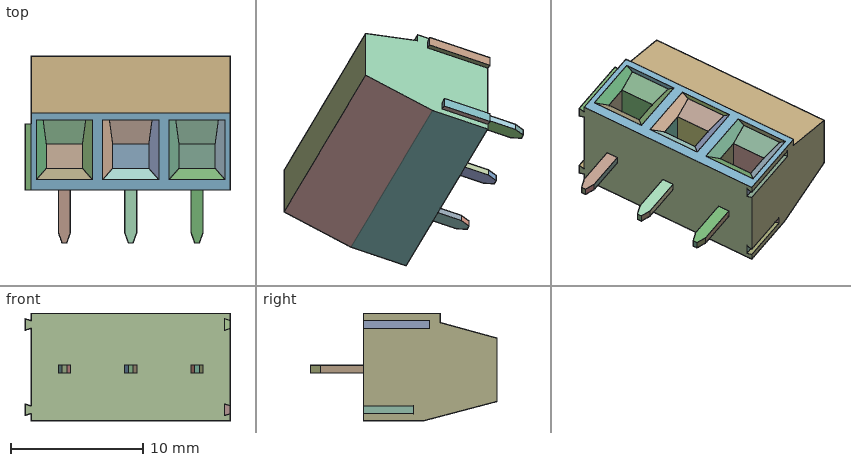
import cadquery as cq

overall_width = 15.5
key_height = 0.45
body_width = overall_width - key_height
body_depth = 10.1
body_height = 8.1

top_depth = 5.81
step_height = 0.68
back_top_drop = 1.86
bottom_depth = 4.57
back_bottom_rise = 1.45

pole_count = 3
pitch = 5.0
body_left = key_height
body_middle = body_left + body_width / 2
pole_centers = [body_middle + (i - (pole_count - 1) / 2) * pitch for i in range(pole_count)]

mouth_width = 4.23
mouth_front = 0.79
mouth_back = 5.3
funnel_depth = 0.62
lip_depth = 0.42
shaft_width = 2.73
shaft_front = 1.65
shaft_back = 3.47
shaft_bottom = 4.03

pin_length = 4.0
pin_width = 0.91
pin_thickness = 0.6
pin_tip_width = 0.35
pin_taper_length = 0.78
pin_center_height = 3.9

key_tip_width = 0.88
key_root_width = 0.59
key_edge_distance = 0.84
upper_key_length = 5.0
lower_key_length = 3.8
dovetails = [
    (body_height - key_edge_distance, upper_key_length),
    (key_edge_distance, lower_key_length),
]


def make_housing():
    """Extrude the stepped and tapered side profile along X."""
    return (
        cq.Workplane("YZ", origin=(body_left, 0, 0))
        .polyline([
            (0, 0),
            (bottom_depth, 0),
            (body_depth, back_bottom_rise),
            (body_depth, body_height - back_top_drop),
            (top_depth, body_height - step_height),
            (top_depth, body_height),
            (0, body_height),
        ])
        .close()
        .extrude(body_width)
    )


def make_dovetail(tip_x, center_z, length):
    """A bar running back from the front face, widest at tip_x and narrower towards +X."""
    root_x = tip_x + key_height
    return (
        cq.Workplane("XZ")
        .polyline([
            (tip_x, center_z - key_tip_width / 2),
            (root_x, center_z - key_root_width / 2),
            (root_x, center_z + key_root_width / 2),
            (tip_x, center_z + key_tip_width / 2),
        ])
        .close()
        .extrude(-length)
    )


def make_wire_entry(center_x):
    """Funnel with sloped walls, a back wall upright near the top, and a straight shaft below."""
    funnel_bottom = body_height - funnel_depth
    side_walls = (
        cq.Workplane("XZ", origin=(0, mouth_front, 0))
        .polyline([
            (center_x - mouth_width / 2, body_height),
            (center_x + mouth_width / 2, body_height),
            (center_x + shaft_width / 2, funnel_bottom),
            (center_x - shaft_width / 2, funnel_bottom),
        ])
        .close()
        .extrude(mouth_front - mouth_back)
    )
    front_and_back_walls = (
        cq.Workplane("YZ", origin=(center_x - mouth_width / 2, 0, 0))
        .polyline([
            (mouth_front, body_height),
            (mouth_back, body_height),
            (mouth_back, body_height - lip_depth),
            (shaft_back, funnel_bottom),
            (shaft_front, funnel_bottom),
        ])
        .close()
        .extrude(mouth_width)
    )
    shaft = cq.Workplane("XY").box(
        shaft_width,
        shaft_back - shaft_front,
        funnel_bottom - shaft_bottom,
        centered=(True, False, False),
    ).translate((center_x, shaft_front, shaft_bottom))
    return side_walls.intersect(front_and_back_walls).union(shaft)


def make_pin(center_x):
    """Flat pin pointing forward from the front face, tapered in width at its tip."""
    taper_start = pin_taper_length - pin_length
    return (
        cq.Workplane("XY", origin=(center_x, 0, pin_center_height - pin_thickness / 2))
        .polyline([
            (-pin_width / 2, 0),
            (-pin_width / 2, taper_start),
            (-pin_tip_width / 2, -pin_length),
            (pin_tip_width / 2, -pin_length),
            (pin_width / 2, taper_start),
            (pin_width / 2, 0),
        ])
        .close()
        .extrude(pin_thickness)
    )


result = make_housing()
for dovetail_height, dovetail_length in dovetails:
    key = make_dovetail(0, dovetail_height, dovetail_length)
    groove = make_dovetail(overall_width - key_height, dovetail_height, dovetail_length)
    result = result.union(key).cut(groove)
for pole_x in pole_centers:
    result = result.cut(make_wire_entry(pole_x)).union(make_pin(pole_x))